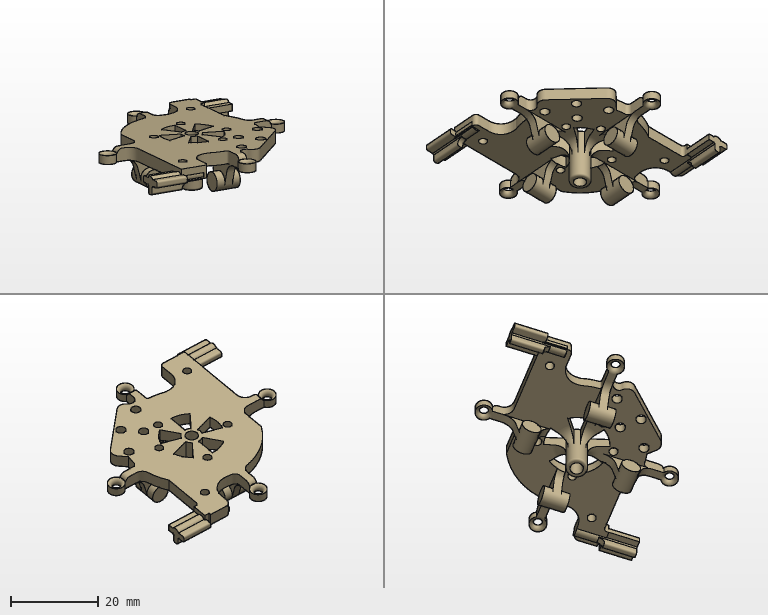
import cadquery as cq
import math

plate_height = 3.1
body_radius = 16.25
body_flat_y = -14.35

left_wing_x = -23.95
left_wing_bottom = 7.7
left_wing_top = 13.7
left_wing_side_x = -16.05
left_neck_x = (-23.4, -19.45)
left_neck_top = 14.95
right_wing_x = 23.6
right_wing_bottom = -16.85
right_wing_top = -9.65
right_wing_side_x = 15.5
left_wing_corner_radius = 1.5
right_wing_corner_radius = 1.0
neck_fillet = 0.75
left_pocket_radius = 4.4
right_pocket_radius = 3.9

tab_reach = 18.0
tab_width = 18.1
tab_shift = 0.225
tab_corner_radius = 2.0

arm_width = 2.05
arm_offset = arm_width / 2
eyelet_distance = 23.0
eyelet_diameter = 4.1
eyelet_height = 2.1
eyelet_hole_diameter = 2.0
arm_drop_radius = 1.35
arm_drop_start = 19.75
arm_root_fillet = 2.0
arm_pocket_fillet = 1.5
arm_wing_fillet = 2.4
arm_tab_fillet = 1.0
arm_rim_fillet = 0.5
notch_fillet = 1.45

pin_diameter = 5.0
pin_bottom = -9.9
pin_end_fillet = 0.5
pin_root_fillet = 3.0
bore_diameter = 3.0

window_count = 5
window_inner_radius = pin_diameter / 2
window_outer_radius = 7.55
window_half_angle = 18.0

leg_distance = 12.5
leg_axis_z = -4.9
leg_diameter = 4.6
leg_length = 3 * arm_width
web_draft = 15.0
web_root_fillet = 3.0

rail_core_diameter = 2.7
rail_core_z = 0.9
rail_width = 6.05
rail_flange_thickness = 1.65
rail_stem_width = 1.5
rail_stem_bottom = -2.1
rail_edge_fillet = 0.5
rail_gusset_radius = 1.35
left_rail_x = -22.0
left_rail_outer = 22.45
left_rail_inner = 14.55
right_rail_x = 22.35
right_rail_outer = -24.35
right_rail_inner = -16.3
right_core_end = -10.9

small_hole_diameter = 2.0
small_holes = [(-17.15, 9.95), (-8.1, 1.9), (1.35, 8.45), (7.7, 3.7), (-2.1, -8.8), (18.05, -13.15)]
large_hole_diameter = 2.3
large_holes = [(4.7, 14.65), (11.7, 11.4), (8.0, 7.65), (15.0, 4.35)]


def block(x0, x1, y0, y1, z0=0.0, z1=plate_height):
    return cq.Workplane("XY").box(x1 - x0, y1 - y0, z1 - z0, centered=False).translate((x0, y0, z0))


def quarter_turns(shape):
    """The four copies of a shape placed every 90 degrees around the hub."""
    return [shape.rotate((0, 0, 0), (0, 0, 1), 90 * turn) for turn in range(4)]


def round_corner(body, x, y, radius):
    """Round the upright edge of the plate nearest to (x, y)."""
    corner = cq.selectors.NearestToPointSelector((x, y, plate_height / 2))
    return body.edges("|Z").edges(corner).fillet(radius)


def make_arm():
    """The arm that points to -Y; its top rounds down to the eyelet, where the arm ends."""
    drop = plate_height - eyelet_height
    drop_angle = math.acos(1 - drop / arm_drop_radius)

    def drop_point(angle):
        return (
            -arm_drop_start - arm_drop_radius * math.sin(angle),
            plate_height - arm_drop_radius * (1 - math.cos(angle)),
        )

    profile = (
        cq.Workplane("YZ").moveTo(-body_radius / 2, 0).lineTo(-body_radius / 2, plate_height)
        .lineTo(-arm_drop_start, plate_height)
        .threePointArc(drop_point(drop_angle / 2), drop_point(drop_angle))
        .lineTo(-eyelet_distance, eyelet_height).lineTo(-eyelet_distance, 0).close()
    )
    return profile.extrude(arm_width)


def make_plate():
    body = cq.Workplane("XY").circle(body_radius).extrude(plate_height)
    body = body.cut(block(-body_radius, 0, -body_radius, body_flat_y))
    body = body.union(block(left_wing_x, 0, left_wing_bottom, left_wing_top))
    body = body.union(block(left_wing_side_x, 0, 0, left_wing_bottom))
    body = body.union(block(*left_neck_x, left_wing_bottom, left_neck_top))
    body = body.union(block(0, right_wing_x, right_wing_bottom, right_wing_top))
    body = body.union(block(0, right_wing_side_x, right_wing_top, 0))
    tab = block(0, tab_reach, -tab_width / 2 - tab_shift, tab_width / 2 - tab_shift)
    tab = tab.edges("|Z and >X").fillet(tab_corner_radius)
    body = body.union(tab.rotate((0, 0, 0), (0, 0, 1), 45))
    for arm in quarter_turns(make_arm()):
        body = body.union(arm)

    notch_x = arm_width + math.sqrt(2) * (tab_width / 2 + tab_shift)
    notch = cq.Workplane("XY").polyline(
        [(notch_x, arm_width), (tab_reach, arm_width), (tab_reach, arm_width + tab_reach - notch_x)]
    ).close().extrude(plate_height)
    body = body.cut(notch)
    body = round_corner(body, notch_x, arm_width, notch_fillet)

    body = round_corner(body, left_wing_x, left_wing_bottom, left_wing_corner_radius)
    body = round_corner(body, left_wing_side_x, left_wing_bottom, left_pocket_radius)
    body = round_corner(body, left_neck_x[1], left_wing_top, neck_fillet)
    body = round_corner(body, right_wing_x, right_wing_top, right_wing_corner_radius)
    body = round_corner(body, right_wing_side_x, right_wing_top, right_pocket_radius)

    side_x = math.sqrt(body_radius**2 - arm_width**2)
    body = round_corner(body, -arm_width, side_x, arm_root_fillet)
    body = round_corner(body, 0, body_radius, arm_tab_fillet)
    body = round_corner(body, left_wing_side_x, 0, arm_pocket_fillet)
    body = round_corner(body, -side_x, -arm_width, arm_root_fillet)
    body = round_corner(body, 0, body_flat_y, arm_root_fillet)
    body = round_corner(body, arm_width, right_wing_bottom, arm_wing_fillet)
    body = round_corner(body, body_radius, 0, arm_rim_fillet)
    return body


def make_eyelet():
    """Solid disc of the eyelet at the -Y arm."""
    disc = cq.Workplane("XY").circle(eyelet_diameter / 2).extrude(eyelet_height)
    return disc.translate((arm_offset, -eyelet_distance, 0))


def make_eyelet_hole():
    """Hole of the -Y eyelet: narrowest at half height and rounded out to the rim at both faces."""
    rim = eyelet_diameter / 2
    throat = eyelet_hole_diameter / 2
    profile = (
        cq.Workplane("XZ").lineTo(rim, 0).threePointArc((throat, eyelet_height / 2), (rim, eyelet_height))
        .lineTo(0, eyelet_height).close()
    )
    hole = profile.revolve(360, (0, 0, 0), (0, 1, 0))
    return hole.translate((arm_offset, -eyelet_distance, 0))


def make_pin_flare():
    """Trumpet that widens the root of the pin into the underside of the plate."""
    radius = pin_diameter / 2
    middle = pin_root_fillet * (1 - math.sqrt(0.5))
    profile = (
        cq.Workplane("XZ").moveTo(0, 0).lineTo(radius + pin_root_fillet, 0)
        .threePointArc((radius + middle, -middle), (radius, -pin_root_fillet))
        .lineTo(0, -pin_root_fillet).close()
    )
    return profile.revolve(360, (0, 0, 0), (0, 1, 0))


def round_bar(diameter):
    """Bar on the hub axis from the end of the pin to the top of the plate."""
    bar = cq.Workplane("XY").workplane(offset=pin_bottom).circle(diameter / 2)
    return bar.extrude(plate_height - pin_bottom)


def make_pin():
    pin = round_bar(pin_diameter)
    return pin.faces("<Z").edges().fillet(pin_end_fillet)


def make_windows():
    """Sector windows, the first one centred on -Y."""
    def rim(radius, angle):
        return (radius * math.sin(math.radians(angle)), -radius * math.cos(math.radians(angle)))

    half = window_half_angle
    window = (
        cq.Workplane("XY").workplane(offset=-pin_root_fillet)
        .moveTo(*rim(window_inner_radius, -half))
        .threePointArc(rim(window_inner_radius, 0), rim(window_inner_radius, half))
        .lineTo(*rim(window_outer_radius, half))
        .threePointArc(rim(window_outer_radius, 0), rim(window_outer_radius, -half))
        .close().extrude(pin_root_fillet + plate_height)
    )
    windows = window
    for index in range(1, window_count):
        windows = windows.union(window.rotate((0, 0, 0), (0, 0, 1), 360 / window_count * index))
    return windows


def make_leg():
    """Leg on the -X side: a round bar along Y hung from a flared web."""
    draft = math.radians(web_draft)
    radius = leg_diameter / 2
    touch_x = radius * math.cos(draft)
    touch_z = leg_axis_z - radius * math.sin(draft)
    flare_z = -web_root_fillet * (1 - math.sin(draft))
    flare_x = touch_x + (flare_z - touch_z) * math.tan(draft)
    root_x = flare_x + web_root_fillet * math.cos(draft)
    middle = math.radians(45 + web_draft / 2)
    arc_x = root_x - web_root_fillet * math.cos(middle)
    arc_z = -web_root_fillet * (1 - math.sin(middle))
    web = (
        cq.Workplane("XZ").moveTo(-root_x, 0)
        .threePointArc((-arc_x, arc_z), (-flare_x, flare_z)).lineTo(-touch_x, touch_z)
        .lineTo(touch_x, touch_z).lineTo(flare_x, flare_z)
        .threePointArc((arc_x, arc_z), (root_x, 0))
        .close().extrude(arm_offset, both=True)
    )
    bar = cq.Workplane("XZ").center(0, leg_axis_z).circle(radius).extrude(leg_length / 2, both=True)
    return web.union(bar).translate((-leg_distance, -arm_offset, 0))


def make_rail(x, outer_y, inner_y, core_end_y):
    """Rail along Y with flat flanges and a stem; its round core runs on into the plate up to core_end_y."""
    half_width = rail_width / 2
    half_stem = rail_stem_width / 2
    inward = math.copysign(1, inner_y - outer_y)
    y_range = sorted((outer_y, inner_y))
    flange_bottom = rail_core_z - rail_flange_thickness / 2
    flange_top = rail_core_z + rail_flange_thickness / 2
    core_bottom = rail_core_z - rail_core_diameter / 2
    core = (
        cq.Workplane("XZ", origin=(x, outer_y, rail_core_z)).circle(rail_core_diameter / 2)
        .extrude(outer_y - core_end_y)
    )
    flange = block(x - half_width, x + half_width, *y_range, flange_bottom, flange_top)
    flange = flange.edges("|Y").fillet(rail_edge_fillet)
    stem = block(x - half_stem, x + half_stem, *y_range, rail_stem_bottom, rail_core_z)
    stem = stem.edges("|Y and <Z").fillet(rail_edge_fillet)

    gusset_y = inner_y + inward * rail_gusset_radius
    gusset_bottom = core_bottom - rail_gusset_radius
    gusset_range = sorted((inner_y, gusset_y))
    gusset = block(x - half_stem, x + half_stem, *gusset_range, gusset_bottom, rail_core_z)
    hollow = (
        cq.Workplane("YZ", origin=(x - half_stem, gusset_y, gusset_bottom))
        .circle(rail_gusset_radius).extrude(rail_stem_width)
    )
    return core.union(flange).union(stem).union(gusset.cut(hollow))


part = make_plate()
for eyelet in quarter_turns(make_eyelet()):
    part = part.union(eyelet)
for hole in quarter_turns(make_eyelet_hole()):
    part = part.cut(hole)

part = part.union(make_pin_flare())
windows = make_windows()
part = part.cut(windows)
part = part.union(make_pin())
part = part.cut(round_bar(bore_diameter))

for points, diameter in ((small_holes, small_hole_diameter), (large_holes, large_hole_diameter)):
    part = part.cut(cq.Workplane("XY").pushPoints(points).circle(diameter / 2).extrude(plate_height))

for leg in quarter_turns(make_leg()):
    part = part.union(leg.cut(windows))

left_rail = make_rail(left_rail_x, left_rail_outer, left_rail_inner, left_wing_bottom)
left_rail = left_rail.cut(block(left_neck_x[1], 0, left_rail_inner, left_rail_outer))
part = part.union(left_rail)
part = part.union(make_rail(right_rail_x, right_rail_outer, right_rail_inner, right_core_end))

result = part.solids()